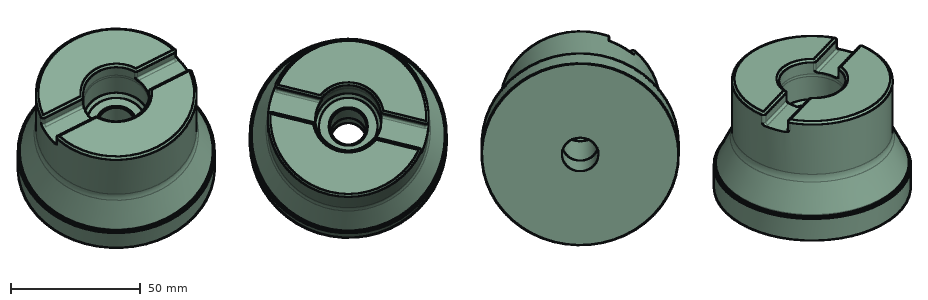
import cadquery as cq
import math

base_diameter = 76.1
total_height = 50.0

base_height = 10.6
base_top_chamfer = 0.45
base_bottom_chamfer = 0.2

neck_diameter = 62.0
neck_radius = neck_diameter / 2
neck_bottom_z = 26.1
flare_angle = 25.3
flare_blend_radius = 7.2
rim_radius = 37.1
rim_rounding = 0.7
edge_chamfer = 1.0

mouth_diameter = 25.6
mouth_depth = 6.3
bore_diameter = 25.4
bore_taper_depth = 7.4
pocket_floor_diameter = 22.5
pocket_depth = 19.3
hole_diameter = 14.0
hole_chamfer = 0.5

slot_width = 9.75
slot_depth = 5.55
slot_end_rounding = 1.1
slot_floor_fillet = 1.0
slot_run_out = 2.3


def make_base():
    """Flat disc with a through hole that continues the housing's."""
    disc = cq.Workplane("XY").circle(base_diameter / 2).extrude(base_height)
    disc = disc.faces(">Z").edges().chamfer(base_top_chamfer)
    disc = disc.faces("<Z").edges().chamfer(base_bottom_chamfer)
    hole = cq.Workplane("XY").circle(hole_diameter / 2).extrude(base_height)
    return disc.cut(hole)


def make_outside():
    """Revolved neck, concave blend, flare and rounded rim."""
    angle = math.radians(flare_angle)

    blend_centre_r = neck_radius + flare_blend_radius

    def blend_point(turn):
        return (
            blend_centre_r - flare_blend_radius * math.cos(turn),
            neck_bottom_z - flare_blend_radius * math.sin(turn),
        )

    rim_centre_r = rim_radius - rim_rounding * math.cos(angle)
    rim_centre_z = base_height + rim_rounding

    def rim_point(turn):
        return (
            rim_centre_r + rim_rounding * math.cos(turn),
            rim_centre_z + rim_rounding * math.sin(turn),
        )

    profile = (
        cq.Workplane("XZ")
        .moveTo(0, base_height)
        .lineTo(rim_centre_r, base_height)
        .threePointArc(rim_point(0), rim_point(angle))
        .lineTo(*blend_point(angle))
        .threePointArc(blend_point(angle / 2), (neck_radius, neck_bottom_z))
        .lineTo(neck_radius, total_height)
        .lineTo(0, total_height)
        .close()
    )
    return profile.revolve(360, (0, 0, 0), (0, 1, 0))


def make_bore():
    """Cutter for the mouth, bore, chamfered pocket floor and through hole."""
    bore_radius = bore_diameter / 2
    floor_radius = pocket_floor_diameter / 2
    hole_radius = hole_diameter / 2
    floor_z = total_height - pocket_depth
    profile = (
        cq.Workplane("XZ")
        .moveTo(0, base_height)
        .lineTo(hole_radius, base_height)
        .lineTo(hole_radius, floor_z - hole_chamfer)
        .lineTo(hole_radius + hole_chamfer, floor_z)
        .lineTo(floor_radius, floor_z)
        .lineTo(bore_radius, floor_z + bore_radius - floor_radius)
        .lineTo(bore_radius, total_height - bore_taper_depth)
        .lineTo(mouth_diameter / 2, total_height - mouth_depth)
        .lineTo(mouth_diameter / 2, total_height)
        .lineTo(0, total_height)
        .close()
    )
    return profile.revolve(360, (0, 0, 0), (0, 1, 0))


def make_slot_end():
    """Cutter for the slot on the +Y side, flared where it meets bore and neck."""
    half_width = slot_width / 2
    rounding = slot_end_rounding
    mouth_radius = mouth_diameter / 2
    arc_centre_x = half_width + rounding

    neck_arc_y = math.sqrt((neck_radius - rounding) ** 2 - arc_centre_x**2)
    neck_turn = math.atan2(neck_arc_y, arc_centre_x)

    bore_arc_y = math.sqrt((mouth_radius + rounding) ** 2 - arc_centre_x**2)
    bore_turn = -math.pi + math.atan2(bore_arc_y, arc_centre_x)

    def arc_point(centre_y, turn):
        return (
            arc_centre_x + rounding * math.cos(turn),
            centre_y + rounding * math.sin(turn),
        )

    neck_touch = arc_point(neck_arc_y, neck_turn)
    neck_middle = arc_point(neck_arc_y, (math.pi + neck_turn) / 2)
    bore_touch = arc_point(bore_arc_y, bore_turn)
    bore_middle = arc_point(bore_arc_y, (bore_turn - math.pi) / 2)

    run_out = (
        neck_touch[0] + slot_run_out * math.sin(neck_turn),
        neck_touch[1] - slot_run_out * math.cos(neck_turn),
    )
    far_y = neck_radius + slot_run_out

    def mirrored(point):
        return (-point[0], point[1])

    plan = (
        cq.Workplane("XY", origin=(0, 0, total_height - slot_depth))
        .moveTo(*bore_touch)
        .threePointArc(bore_middle, (half_width, bore_arc_y))
        .lineTo(half_width, neck_arc_y)
        .threePointArc(neck_middle, neck_touch)
        .lineTo(*run_out)
        .lineTo(run_out[0], far_y)
        .lineTo(-run_out[0], far_y)
        .lineTo(*mirrored(run_out))
        .lineTo(*mirrored(neck_touch))
        .threePointArc(mirrored(neck_middle), (-half_width, neck_arc_y))
        .lineTo(-half_width, bore_arc_y)
        .threePointArc(mirrored(bore_middle), mirrored(bore_touch))
        .close()
    )
    cutter = plan.extrude(slot_depth)

    walls = cq.selectors.BoxSelector(
        (-arc_centre_x, bore_arc_y, 0), (arc_centre_x, neck_arc_y, total_height)
    )
    return cutter.faces("<Z").edges("|Y").edges(walls).fillet(slot_floor_fillet)


def make_housing():
    housing = make_outside().cut(make_bore())
    slot_end = make_slot_end()
    for angle in (0, 180):
        housing = housing.cut(slot_end.rotate((0, 0, 0), (0, 0, 1), angle))
    return housing.faces(">Z").edges().chamfer(edge_chamfer)


base = make_base()
housing = make_housing()
result = cq.Compound.makeCompound([base.val(), housing.val()])